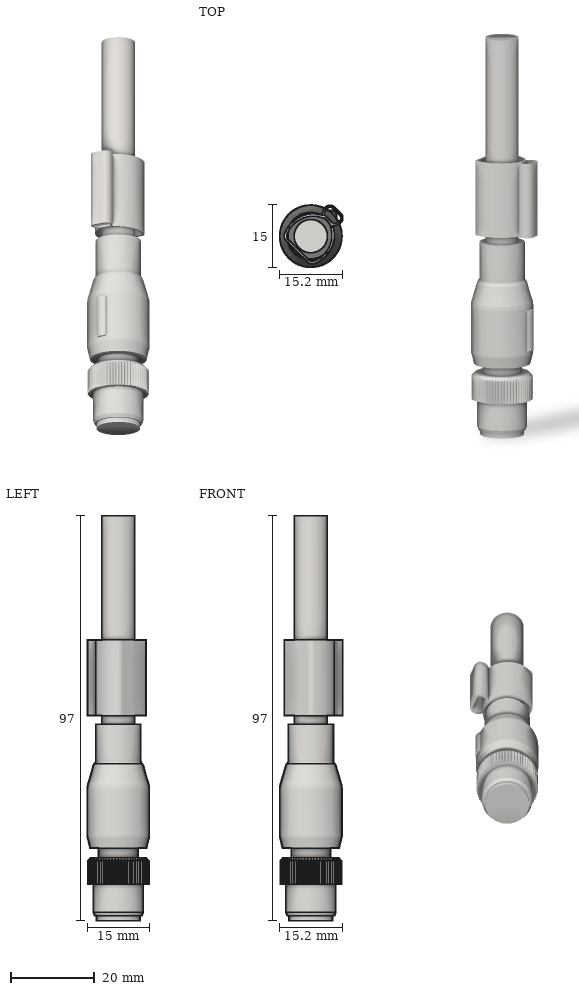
import cadquery as cq
import math

TOTAL_LENGTH = 97.0
NOSE_TOP = 1.2
NUT_CHAMFER_TOP = 2.0
KNURL_BOTTOM = 8.7
KNURL_CHAMFER_BOTTOM = 14.3
KNURL_TOP = 15.1
GRIP_BOTTOM = 17.4
GRIP_TAPER_TOP = 20.2
GRIP_SHOULDER = 32.1
GRIP_CONE_TOP = 37.15
GRIP_FLARE_BOTTOM = 37.6
GRIP_FLARE_TOP = 38.2
GRIP_TOP = 47.0
CLIP_BOTTOM = 49.1
CLIP_LENGTH = 18.1

CABLE_RADIUS = 4.0
NOSE_RADIUS = 5.2
CARRIER_NECK_RADIUS = 4.8
THREAD_RADIUS = 6.0
THREAD_CHAMFER_RADIUS = 5.6
KNURL_RADIUS = 7.4
KNURL_TOP_RADIUS = 6.6
GRIP_RADIUS = 7.5
GRIP_BOTTOM_RADIUS = 6.8
GRIP_CONE_TOP_RADIUS = 6.0
GRIP_FLARE_RADIUS = 5.7
GRIP_NECK_RADIUS = 5.4

GRIP_SHOULDER_FILLET = 3.5
GRIP_TAPER_FILLET = 1.9
MARK_HALF_WIDTH = 1.2
MARK_HEIGHT = 0.7
MARK_MARGIN = 1.0

GROOVE_COUNT = 60
GROOVE_DEPTH = 0.4
GROOVE_FILL = 0.8

CLIP_ANGLE = 45.0
CLIP_SIDE_SHIFT = -0.2
CLIP_WALL = 0.6
LOOP_BACK = 4.9
LOOP_FLAT = 5.3
LOOP_HALF_WIDTH = 5.7
LOOP_WIDEST = -1.0
LOOP_SIDE_RADIUS = 7.3
LOOP_CORNER = 1.5
CHANNEL_WALL = 0.5
CHANNEL_FRONT = 8.9
CHANNEL_HALF_WIDTH = 2.6
CHANNEL_CORNER = 1.5
FLARE_ORIGIN = 3.7
FLARE_RADIUS = 2.4

SELECT_MARGIN = 0.01


def disc(radius, bottom, top):
    """Round bar on the cable axis between two heights."""
    return cq.Workplane("XY").workplane(offset=bottom).circle(radius).extrude(top - bottom)


def turned(points):
    """Solid turned about the cable axis from (radius, height) points that start and end on it."""
    return cq.Workplane("XZ").polyline(points).close().revolve(360, (0, 0), (0, 1))


def edge_at(body, radius, height):
    """The circular edge of a turned body with the given radius and height."""
    corner = cq.selectors.BoxSelector(
        (-radius - SELECT_MARGIN, -radius - SELECT_MARGIN, height - SELECT_MARGIN),
        (radius + SELECT_MARGIN, radius + SELECT_MARGIN, height + SELECT_MARGIN),
        boundingbox=True,
    )
    return body.edges("%CIRCLE").edges(corner)


def make_cable():
    return disc(CABLE_RADIUS, GRIP_TOP, TOTAL_LENGTH)


def make_carrier():
    """Contact carrier: the nose at the tip and the slimmer neck that carries the nut."""
    return turned([
        (0, 0),
        (NOSE_RADIUS, 0),
        (NOSE_RADIUS, NOSE_TOP),
        (CARRIER_NECK_RADIUS, NOSE_TOP),
        (CARRIER_NECK_RADIUS, GRIP_BOTTOM),
        (0, GRIP_BOTTOM),
    ])


def make_nut():
    """Threaded sleeve with a knurled ring, bored to fit the carrier neck."""
    nut = turned([
        (0, NOSE_TOP),
        (THREAD_CHAMFER_RADIUS, NOSE_TOP),
        (THREAD_RADIUS, NUT_CHAMFER_TOP),
        (THREAD_RADIUS, KNURL_BOTTOM),
        (KNURL_RADIUS, KNURL_BOTTOM),
        (KNURL_RADIUS, KNURL_CHAMFER_BOTTOM),
        (KNURL_TOP_RADIUS, KNURL_TOP),
        (0, KNURL_TOP),
    ])
    groove_width = GROOVE_FILL * 2 * math.pi * KNURL_RADIUS / GROOVE_COUNT
    groove = (
        cq.Workplane("XY").workplane(offset=KNURL_BOTTOM)
        .moveTo(KNURL_RADIUS - GROOVE_DEPTH, 0)
        .lineTo(KNURL_RADIUS + GROOVE_DEPTH, groove_width)
        .lineTo(KNURL_RADIUS + GROOVE_DEPTH, -groove_width)
        .close()
        .extrude(KNURL_TOP - KNURL_BOTTOM)
    )
    for number in range(GROOVE_COUNT):
        turned_groove = groove.rotate((0, 0, 0), (0, 0, 1), number * 360 / GROOVE_COUNT)
        nut = nut.cut(turned_groove)
    return nut.cut(disc(CARRIER_NECK_RADIUS, NOSE_TOP, KNURL_TOP))


def make_grip():
    """Moulded grip with a rounded barrel, a cone up to the cable neck and a raised mark."""
    grip = (
        cq.Workplane("XZ")
        .moveTo(0, GRIP_TOP)
        .lineTo(GRIP_NECK_RADIUS, GRIP_TOP)
        .lineTo(GRIP_NECK_RADIUS, GRIP_FLARE_TOP)
        .tangentArcPoint((GRIP_FLARE_RADIUS, GRIP_FLARE_BOTTOM), relative=False)
        .lineTo(GRIP_CONE_TOP_RADIUS, GRIP_CONE_TOP)
        .lineTo(GRIP_RADIUS, GRIP_SHOULDER)
        .lineTo(GRIP_RADIUS, GRIP_TAPER_TOP)
        .lineTo(GRIP_BOTTOM_RADIUS, GRIP_BOTTOM)
        .lineTo(0, GRIP_BOTTOM)
        .close()
        .revolve(360, (0, 0), (0, 1))
    )
    grip = edge_at(grip, GRIP_RADIUS, GRIP_SHOULDER).fillet(GRIP_SHOULDER_FILLET)
    grip = edge_at(grip, GRIP_RADIUS, GRIP_TAPER_TOP).fillet(GRIP_TAPER_FILLET)
    mark_bottom = GRIP_TAPER_TOP + MARK_MARGIN
    mark_length = GRIP_SHOULDER - MARK_MARGIN - mark_bottom
    mark = (
        cq.Workplane("XY").workplane(offset=mark_bottom)
        .center(GRIP_RADIUS, 0)
        .ellipse(MARK_HEIGHT, MARK_HALF_WIDTH)
        .extrude(mark_length)
        .rotate((0, 0, 0), (0, 0, 1), CLIP_ANGLE)
    )
    return grip.union(mark)


def loop_block(inset, front):
    """Cable loop of the clip as a filled block up to the front plane, its outline moved inwards."""
    side_radius = LOOP_SIDE_RADIUS - inset
    back = -(LOOP_BACK - inset)
    side_centre = LOOP_SIDE_RADIUS - LOOP_HALF_WIDTH
    half_width = side_radius - side_centre

    def side_at(position):
        return math.sqrt(side_radius**2 - (position - LOOP_WIDEST)**2) - side_centre

    return (
        cq.Workplane("XY").workplane(offset=CLIP_BOTTOM)
        .moveTo(back, -side_at(back))
        .threePointArc((LOOP_WIDEST, -half_width), (front, -side_at(front)))
        .lineTo(front, side_at(front))
        .threePointArc((LOOP_WIDEST, half_width), (back, side_at(back)))
        .close()
        .extrude(CLIP_LENGTH)
        .edges("|Z and <X").fillet(LOOP_CORNER - inset)
    )


def channel_block(inset, rear):
    """Label channel as a filled block from the rear plane, flared at 45 degrees to full width."""
    half_width = CHANNEL_HALF_WIDTH - inset
    flare_origin = FLARE_ORIGIN + math.sqrt(2) * inset
    root_half_width = rear - flare_origin
    flare_end = flare_origin + half_width
    front = CHANNEL_FRONT - inset
    flare_edges = cq.selectors.BoxSelector(
        (flare_end - SELECT_MARGIN, -half_width - SELECT_MARGIN, CLIP_BOTTOM),
        (flare_end + SELECT_MARGIN, half_width + SELECT_MARGIN, CLIP_BOTTOM + CLIP_LENGTH),
    )
    return (
        cq.Workplane("XY").workplane(offset=CLIP_BOTTOM)
        .moveTo(rear, -root_half_width)
        .lineTo(flare_end, -half_width)
        .lineTo(front, -half_width)
        .lineTo(front, half_width)
        .lineTo(flare_end, half_width)
        .lineTo(rear, root_half_width)
        .close()
        .extrude(CLIP_LENGTH)
        .edges("|Z and >X").fillet(CHANNEL_CORNER - inset)
        .edges(flare_edges).fillet(FLARE_RADIUS - inset)
    )


def make_clip():
    """Label clip: a closed loop around the cable with a label channel beside it."""
    channel_rear = LOOP_FLAT + CLIP_WALL
    clip = (
        loop_block(0, channel_rear)
        .union(channel_block(0, LOOP_FLAT))
        .cut(loop_block(CLIP_WALL, LOOP_FLAT))
        .cut(channel_block(CHANNEL_WALL, channel_rear))
    )
    return clip.translate((0, CLIP_SIDE_SHIFT, 0)).rotate((0, 0, 0), (0, 0, 1), CLIP_ANGLE)


cable = make_cable()
clip = make_clip()
grip = make_grip()
nut = make_nut()
carrier = make_carrier()

result = cq.Compound.makeCompound([cable.val(), clip.val(), grip.val(), nut.val(), carrier.val()])